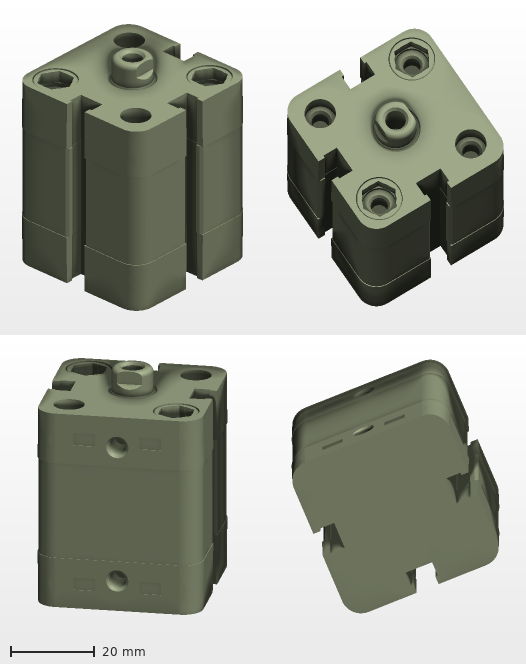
import cadquery as cq
import math

cap_height = 12.5
barrel_height = 24.0
rod_reach = 6.0
barrel_base = cap_height
barrel_top = barrel_base + barrel_height
body_top = barrel_top + cap_height
rod_top = body_top + rod_reach

barrel_width = 40.0
cap_wide = 40.3
cap_narrow = 40.0
corner_radius = 5.0
cap_draft = math.degrees(math.atan((cap_wide - cap_narrow) / 2 / cap_height))

slot_angles = (0, 90, -90)
slot_depth = 5.6
slot_throat_depth = 1.8
slot_overcut = 1.0
cap_slot_mouth = 5.75
cap_slot_width = 7.0
barrel_slot_mouth = 5.3
barrel_slot_width = 6.8
barrel_slot_lead_in = 0.65
barrel_slot_corner_radius = 0.3

corner_offset = 13.0
screw_points = [(corner_offset, corner_offset), (-corner_offset, -corner_offset)]
mount_points = [(-corner_offset, corner_offset), (corner_offset, -corner_offset)]

m5_core = 4.13
m5_mouth = 5.4
m5_depth = 5.0
hole_overcut = 0.2

mount_bore_diameter = 7.5
mount_bore_depth = 4.7

screw_pocket_diameter = 11.1
screw_pocket_depth = 9.8
screw_diameter = 10.9
screw_edge_diameter = 10.48
screw_recess = 0.2
screw_length = screw_pocket_depth - screw_recess
hex_across_flats = 8.0
hex_depth = 3.0
hex_relief_diameter = 8.2
socket_bore_diameter = 8.0
socket_bore_depth = 4.0
screw_thread_mouth = 5.2

port_from_end = 7.6
port_depth = 8.0
label_from_end = 6.2
label_offset = 8.0
label_width = 5.2
label_height = 3.1
label_depth = 0.2

rod_diameter = 10.0
rod_edge_radius = 1.25
rod_flat_width = 8.0
rod_flat_height = 3.25
rod_thread_core = 4.92
rod_thread_mouth = 6.2
rod_thread_depth = 12.0

groove_rim_diameter = 12.0
groove_outer_floor = 11.4
groove_inner_floor = 11.0
groove_lip_diameter = 10.3
groove_depth = 0.3


def countersunk_hole(core, mouth, depth):
    """Blind hole cutter with a 45 degree countersink; mouth on Z = 0, running down.

    It continues straight above the mouth so that it clears a drafted face.
    """
    flare = (mouth - core) / 2
    return (
        cq.Workplane("XZ")
        .moveTo(0, hole_overcut)
        .lineTo(mouth / 2, hole_overcut)
        .lineTo(mouth / 2, 0)
        .lineTo(core / 2, -flare)
        .lineTo(core / 2, -depth)
        .lineTo(0, -depth)
        .close()
        .revolve(360, (0, 0), (0, 1))
    )


def slot_profile(face, mouth, width, lead_in):
    """Points of one T-slot opening on the +X face, a lead-in chamfer widening its mouth."""
    throat = face - slot_throat_depth
    half = [
        (face - slot_depth, width / 2),
        (throat, width / 2),
        (throat, mouth / 2),
    ]
    if lead_in > 0:
        half.append((face - lead_in, mouth / 2))
    half.append((face, mouth / 2 + lead_in))
    half.append((face + slot_overcut, mouth / 2 + lead_in))
    return half + [(x, -y) for x, y in reversed(half)]


def cut_slots(body, slot):
    """Cut the slot into the +X, +Y and -Y sides."""
    for angle in slot_angles:
        body = body.cut(slot.rotate((0, 0, 0), (0, 0, 1), angle))
    return body


def make_barrel():
    blank = (
        cq.Workplane("XY", origin=(0, 0, barrel_base))
        .rect(barrel_width, barrel_width)
        .extrude(barrel_height)
        .edges("|Z")
        .fillet(corner_radius)
    )
    face = barrel_width / 2
    slot = (
        cq.Workplane("XY", origin=(0, 0, barrel_base))
        .polyline(slot_profile(face, barrel_slot_mouth, barrel_slot_width, barrel_slot_lead_in))
        .close()
        .extrude(barrel_height)
    )
    wide_corners = slot.edges("|Z").edges(">Y or <Y")
    slot = wide_corners.fillet(barrel_slot_corner_radius)
    return cut_slots(blank, slot)


def make_cap_blank():
    """Drafted block above the barrel, with its slots, air port and label pockets."""
    blank = (
        cq.Workplane("XY", origin=(0, 0, barrel_top))
        .sketch()
        .rect(cap_wide, cap_wide)
        .vertices()
        .fillet(corner_radius)
        .finalize()
        .extrude(cap_height, taper=cap_draft)
    )
    slot = (
        cq.Workplane("XY", origin=(0, 0, barrel_top))
        .polyline(slot_profile(cap_narrow / 2, cap_slot_mouth, cap_slot_width, 0))
        .close()
        .extrude(cap_height)
    )
    cap = cut_slots(blank, slot)

    port_face = -(cap_narrow + cap_wide) / 4
    port = (
        countersunk_hole(m5_core, m5_mouth, port_depth)
        .rotate((0, 0, 0), (0, 1, 0), -90)
        .translate((port_face, 0, body_top - port_from_end))
    )
    cap = cap.cut(port)

    labels = (
        cq.Workplane("YZ", origin=(port_face + label_depth, 0, body_top - label_from_end))
        .pushPoints([(-label_offset, 0), (label_offset, 0)])
        .rect(label_width, label_height)
        .extrude(-2 * label_depth)
    )
    return cap.cut(labels)


def make_bottom_cap():
    mid_height = body_top / 2
    return make_cap_blank().mirror("XY", (0, 0, mid_height))


def make_top_cap():
    cap = make_cap_blank()
    top = cq.Workplane("XY", origin=(0, 0, body_top))

    mount_thread = countersunk_hole(m5_core, m5_mouth, m5_depth)
    for x, y in mount_points:
        cap = cap.cut(mount_thread.translate((x, y, body_top - mount_bore_depth)))
    cap = cap.cut(top.pushPoints(mount_points).circle(mount_bore_diameter / 2).extrude(-mount_bore_depth))
    cap = cap.cut(top.pushPoints(screw_points).circle(screw_pocket_diameter / 2).extrude(-screw_pocket_depth))

    cap = cap.cut(top.circle(rod_diameter / 2).extrude(-cap_height))
    groove = (
        cq.Workplane("XZ")
        .polyline([
            (groove_rim_diameter / 2, body_top),
            (groove_outer_floor / 2, body_top - groove_depth),
            (groove_inner_floor / 2, body_top - groove_depth),
            (groove_lip_diameter / 2, body_top),
        ])
        .close()
        .revolve(360, (0, 0), (0, 1))
    )
    return cap.cut(groove)


def make_screw(x, y):
    """Hollow screw: relieved hex socket over a round bore, with a threaded hole below."""
    head_top = body_top - screw_recess
    top = cq.Workplane("XY", origin=(x, y, head_top))
    edge = (screw_diameter - screw_edge_diameter) / 2
    screw = top.circle(screw_diameter / 2).extrude(-screw_length).faces(">Z").chamfer(edge)

    hex_across_corners = hex_across_flats / math.cos(math.pi / 6)
    screw = screw.cut(top.polygon(6, hex_across_corners).extrude(-hex_depth))
    screw = screw.cut(top.circle(hex_relief_diameter / 2).extrude(-hex_depth))
    screw = screw.cut(top.circle(socket_bore_diameter / 2).extrude(-socket_bore_depth))
    thread = countersunk_hole(m5_core, screw_thread_mouth, m5_depth)
    return screw.cut(thread.translate((x, y, head_top - socket_bore_depth)))


def make_rod():
    """Rod standing on the barrel, with two wrench flats that end in 45 degree run-outs."""
    rod = (
        cq.Workplane("XY", origin=(0, 0, barrel_top))
        .circle(rod_diameter / 2)
        .extrude(rod_top - barrel_top)
        .faces(">Z")
        .edges()
        .fillet(rod_edge_radius)
    )
    thread = countersunk_hole(rod_thread_core, rod_thread_mouth, rod_thread_depth)
    rod = rod.cut(thread.translate((0, 0, rod_top)))

    flat = rod_flat_width / 2
    outside = rod_diameter / 2
    flat_base = rod_top - rod_flat_height
    flat_cut = (
        cq.Workplane("XZ")
        .polyline([
            (flat, rod_top),
            (flat, flat_base),
            (outside, flat_base - (outside - flat)),
            (outside, rod_top),
        ])
        .close()
        .extrude(rod_diameter / 2, both=True)
    )
    return rod.cut(flat_cut).cut(flat_cut.mirror("YZ"))


bottom_cap = make_bottom_cap()
barrel = make_barrel()
top_cap = make_top_cap()
rod = make_rod()
screws = [make_screw(x, y) for x, y in screw_points]

result = cq.Compound.makeCompound([
    bottom_cap.val(),
    barrel.val(),
    top_cap.val(),
    rod.val(),
    *[screw.val() for screw in screws],
])